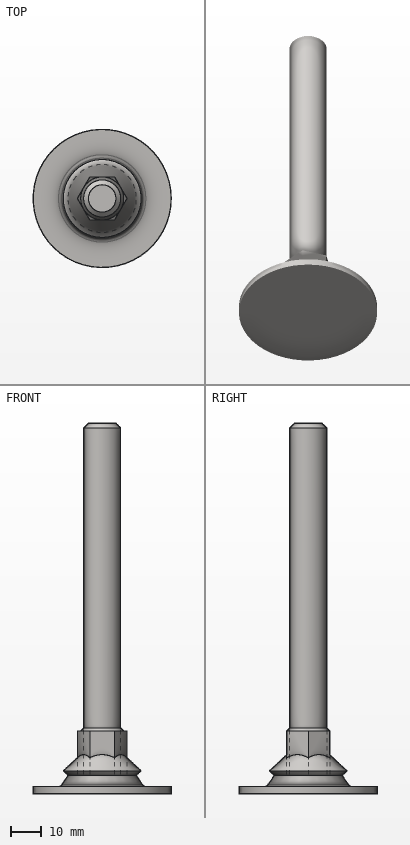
import cadquery as cq
import math

total_height = 120.5
plate_diameter = 45.0
plate_thickness = 2.4

hub_bottom_radius = 13.5
hub_top_radius = 11.1
hub_top_z = 6.0
hub_fillet = 1.3

collar_radius = 12.7
collar_undercut = hub_top_radius
collar_undercut_height = 1.5
collar_flank_slope = 43
collar_rim_z = hub_top_z + collar_undercut_height

hex_across_flats = 14.0
hex_top_z = 20.5
hex_corner_diameter = hex_across_flats / math.cos(math.pi / 6)

rod_radius = 6.0
rod_chamfer = 1.6

shoulder_radius = hex_across_flats / 2
shoulder_height = shoulder_radius - rod_radius


def make_foot():
    """Flat plate with a conical hub blended into its upper face."""
    profile = [
        (0, 0),
        (plate_diameter / 2, 0),
        (plate_diameter / 2, plate_thickness),
        (hub_bottom_radius, plate_thickness),
        (hub_top_radius, hub_top_z),
        (0, hub_top_z),
    ]
    foot = cq.Workplane("XZ").polyline(profile).close().revolve(360, (0, 0), (0, 1))
    hub_root = cq.selectors.RadiusNthSelector(1)
    return foot.edges("%CIRCLE").edges(hub_root).fillet(hub_fillet)


def make_hex_prism():
    """Plain hexagonal prism from the hub to the top of the hexagon."""
    base = cq.Workplane("XY").workplane(offset=hub_top_z)
    return base.polygon(6, hex_corner_diameter).extrude(hex_top_z - hub_top_z)


def make_collar():
    """Double cone with a hexagonal opening; its upper flank ends on the hexagon."""
    apex_z = collar_rim_z + collar_radius * math.tan(math.radians(collar_flank_slope))
    profile = [
        (0, hub_top_z),
        (collar_undercut, hub_top_z),
        (collar_radius, collar_rim_z),
        (0, apex_z),
    ]
    cone = cq.Workplane("XZ").polyline(profile).close().revolve(360, (0, 0), (0, 1))
    return cone.cut(make_hex_prism())


def make_hexagon():
    """Hexagon with a conical shoulder on top and a bore for the rod."""
    shoulder_profile = [
        (0, hex_top_z),
        (shoulder_radius, hex_top_z),
        (rod_radius, hex_top_z + shoulder_height),
        (0, hex_top_z + shoulder_height),
    ]
    shoulder = cq.Workplane("XZ").polyline(shoulder_profile).close().revolve(360, (0, 0), (0, 1))
    bore_depth = hex_top_z + shoulder_height - hub_top_z
    bore = cq.Workplane("XY").workplane(offset=hub_top_z).circle(rod_radius).extrude(bore_depth)
    return make_hex_prism().union(shoulder).cut(bore)


def make_rod():
    """Round rod with a chamfered upper end."""
    base = cq.Workplane("XY").workplane(offset=hub_top_z)
    rod = base.circle(rod_radius).extrude(total_height - hub_top_z)
    return rod.faces(">Z").chamfer(rod_chamfer)


foot = make_foot()
collar = make_collar()
hexagon = make_hexagon()
rod = make_rod()

result = cq.Compound.makeCompound(
    [
        foot.solids().val(),
        collar.solids().val(),
        hexagon.solids().val(),
        rod.solids().val(),
    ]
)